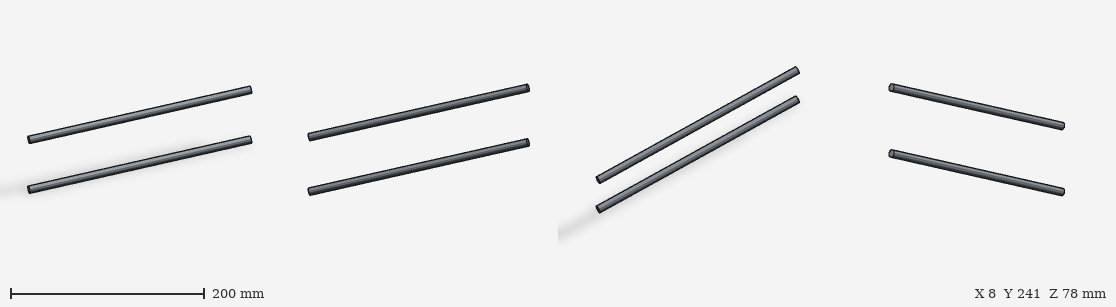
import cadquery as cq

rod_length = 241.0
rod_diameter = 8.0
overall_height = 78.0
rod_spacing = overall_height - rod_diameter


def make_rod(center_z):
    """Plain round rod along Y, centred on the origin in X and Y."""
    return (
        cq.Workplane("XZ", origin=(0, rod_length / 2, center_z))
        .circle(rod_diameter / 2)
        .extrude(rod_length)
    )


rods = []
for side in (-1, 1):
    rod = make_rod(side * rod_spacing / 2)
    rods.append(rod.val())

result = cq.Compound.makeCompound(rods)